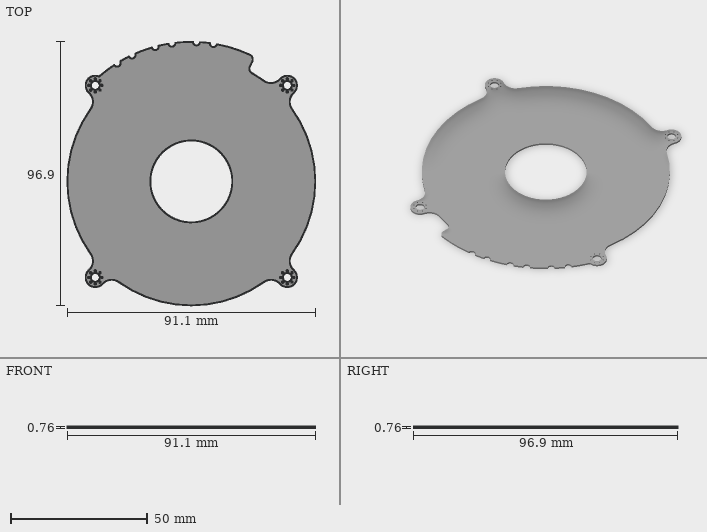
import cadquery as cq
import math

thickness = 0.76
disc_radius = 45.57
rim_radius = 51.28
bore_diameter = 30.0
lug_offset = 35.3
lug_radius = 3.6
lug_hole_diameter = 3.2
lug_fillet = 4.6
vent_diameter = 0.5
vent_circle_radius = 2.4
vent_count = 8
step_angle = 63.0
lug_angle = 135.0
step_fillet = 1.9
notch_radius = 1.3
notch_pair_angles = (84.4, 101.5, 118.6)
notch_half_spacing = 3.5

lug_centers = [(x, y) for x in (-lug_offset, lug_offset) for y in (-lug_offset, lug_offset)]


def polar(radius, degrees):
    angle = math.radians(degrees)
    return (radius * math.cos(angle), radius * math.sin(angle))


def plate(radius):
    return cq.Workplane("XY").circle(radius).extrude(thickness)


def raised_sector():
    """Sector out to the rim radius, ending inside the upper-left lug."""
    middle_angle = (step_angle + lug_angle) / 2
    return (
        cq.Workplane("XY")
        .lineTo(*polar(rim_radius, step_angle))
        .threePointArc(polar(rim_radius, middle_angle), polar(rim_radius, lug_angle))
        .close()
        .extrude(thickness)
    )


def lug_blend(lug_direction, side):
    """Lug with the concave blend on one side (+1 or -1, counterclockwise positive)."""
    lug_distance = lug_offset * math.sqrt(2)
    blend_distance = disc_radius + lug_fillet
    reach = lug_radius + lug_fillet
    cosine = (lug_distance**2 + blend_distance**2 - reach**2) / (2 * lug_distance * blend_distance)
    blend_direction = lug_direction + side * math.degrees(math.acos(cosine))
    lug = polar(lug_distance, lug_direction)
    center = polar(blend_distance, blend_direction)
    web = (
        cq.Workplane("XY")
        .polyline([(0, 0), lug, center])
        .close()
        .extrude(thickness)
    )
    cutter = cq.Workplane("XY").center(*center).circle(lug_fillet).extrude(thickness)
    return web.cut(cutter)


body = plate(disc_radius).union(raised_sector())
for corner_radius in (disc_radius, rim_radius):
    corner = polar(corner_radius, step_angle) + (thickness / 2,)
    body = body.edges(cq.selectors.NearestToPointSelector(corner)).fillet(step_fillet)

body = body.union(cq.Workplane("XY").pushPoints(lug_centers).circle(lug_radius).extrude(thickness))
for direction in (45, 135, 225, 315):
    for side in (-1, 1):
        if direction != lug_angle or side == 1:
            body = body.union(lug_blend(direction, side))

notch_centers = [
    polar(rim_radius, pair_angle + side * notch_half_spacing)
    for pair_angle in notch_pair_angles
    for side in (-1, 1)
]
body = body.cut(cq.Workplane("XY").pushPoints(notch_centers).circle(notch_radius).extrude(thickness))

body = body.cut(plate(bore_diameter / 2))
body = body.cut(
    cq.Workplane("XY").pushPoints(lug_centers).circle(lug_hole_diameter / 2).extrude(thickness)
)
for lug_x, lug_y in lug_centers:
    vents = (
        cq.Workplane("XY")
        .center(lug_x, lug_y)
        .polarArray(vent_circle_radius, 0, 360, vent_count)
        .circle(vent_diameter / 2)
        .extrude(thickness)
    )
    body = body.cut(vents)

result = body